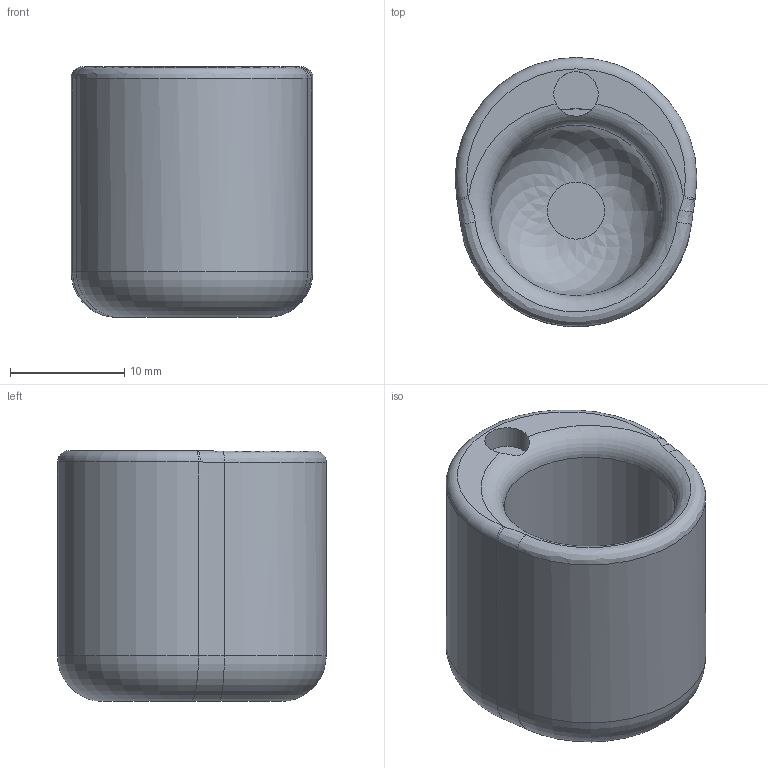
import cadquery as cq
import math

HEIGHT = 22.0
REAR_RADIUS = 10.6
FRONT_RADIUS = 10.2
CAVITY_Y = -2.8
BLEND_RADIUS = 50.0
BOTTOM_FILLET = 4.0
RIM_FILLET = 1.0

CAVITY_RADIUS = 7.5
CAVITY_FLOOR_RADIUS = 2.5
CAVITY_FLOOR_Z = 2.0
MOUTH_FILLET = 2.0

PIN_DIAMETER = 3.9
PIN_DEPTH = 2.0
PIN_Y = CAVITY_Y + FRONT_RADIUS

CHANNEL_INNER_RADIUS = 15.8 / 2
CHANNEL_OUTER_RADIUS = 17.8 / 2
CHANNEL_DEPTH = CHANNEL_OUTER_RADIUS - CHANNEL_INNER_RADIUS


def body_outline():
    """Rear and front circles joined by two concave arcs tangent to both."""
    rear_reach = REAR_RADIUS + BLEND_RADIUS
    front_reach = FRONT_RADIUS + BLEND_RADIUS
    blend_y = (rear_reach**2 - front_reach**2 + CAVITY_Y**2) / (2 * CAVITY_Y)
    blend_x = math.sqrt(rear_reach**2 - blend_y**2)
    rear_x = blend_x * REAR_RADIUS / rear_reach
    rear_y = blend_y * REAR_RADIUS / rear_reach
    front_x = blend_x * FRONT_RADIUS / front_reach
    front_y = CAVITY_Y + (blend_y - CAVITY_Y) * FRONT_RADIUS / front_reach
    mid_angle = math.atan2((rear_y + front_y) / 2 - blend_y, (rear_x + front_x) / 2 - blend_x)
    mid_x = blend_x + BLEND_RADIUS * math.cos(mid_angle)
    mid_y = blend_y + BLEND_RADIUS * math.sin(mid_angle)
    return (
        cq.Workplane("XY")
        .moveTo(rear_x, rear_y)
        .threePointArc((0, REAR_RADIUS), (-rear_x, rear_y))
        .threePointArc((-mid_x, mid_y), (-front_x, front_y))
        .threePointArc((0, CAVITY_Y - FRONT_RADIUS), (front_x, front_y))
        .threePointArc((mid_x, mid_y), (rear_x, rear_y))
        .close()
    )


def cavity():
    """Round blind cavity with a rounded floor edge."""
    return (
        cq.Workplane("XY", origin=(0, CAVITY_Y, CAVITY_FLOOR_Z))
        .circle(CAVITY_RADIUS)
        .extrude(HEIGHT - CAVITY_FLOOR_Z)
        .faces("<Z").edges()
        .fillet(CAVITY_RADIUS - CAVITY_FLOOR_RADIUS)
    )


def pin_hole():
    """Flat-bottomed hole in the top face that breaks into the rounded mouth."""
    return (
        cq.Workplane("XY", origin=(0, PIN_Y, HEIGHT - PIN_DEPTH))
        .circle(PIN_DIAMETER / 2)
        .extrude(PIN_DEPTH)
    )


def ring_channel():
    """Ring around the cavity, its top level with the pin hole floor."""
    channel_bottom = HEIGHT - PIN_DEPTH - CHANNEL_DEPTH
    return (
        cq.Workplane("XY", origin=(0, CAVITY_Y, channel_bottom))
        .circle(CHANNEL_OUTER_RADIUS)
        .circle(CHANNEL_INNER_RADIUS)
        .extrude(CHANNEL_DEPTH)
    )


def body():
    """Rounded outer body with the cavity; the rim fillet follows the mouth fillet it runs into."""
    shape = body_outline().extrude(HEIGHT)
    shape = shape.faces("<Z").edges().fillet(BOTTOM_FILLET)
    shape = shape.cut(cavity())
    mouth = cq.selectors.LengthNthSelector(0)
    shape = shape.faces(">Z").wires(mouth).edges().fillet(MOUTH_FILLET)
    rim = cq.selectors.LengthNthSelector(-1)
    return shape.faces(">Z").wires(rim).edges().fillet(RIM_FILLET)


result = body().cut(pin_hole()).cut(ring_channel())